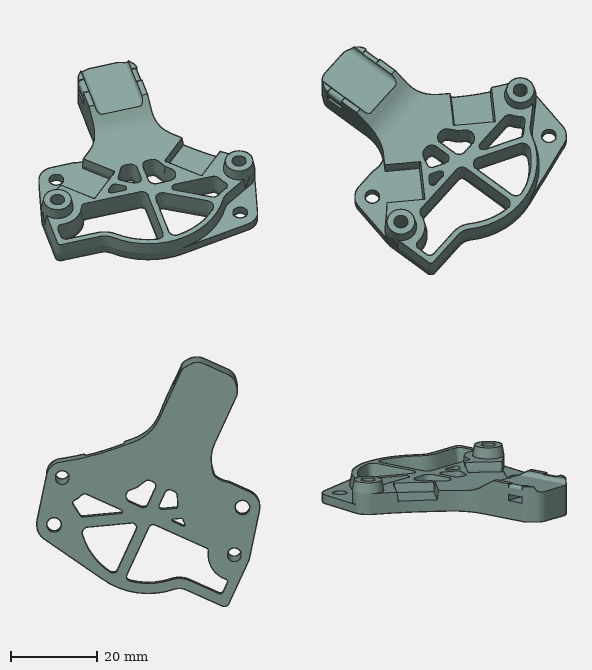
import cadquery as cq
import math


tab_top = 2.1
plate_top = 4.95
boss_top = 7.5
handle_top = 8.4
draft_angle = 10.0

length = 56.3
width = 51.15
rim_radius = 18.25
column_x = 12.15
column_corner_radius = 1.2
rim_blend_radius = 3.95
diagonal_offset = 24.9
flank_angle = 57.0
flank_blend_radius = 67.55
beyond = 50.65

boss_top_radius = 3.2
boss_base_radius = boss_top_radius + (boss_top - plate_top) * math.tan(math.radians(draft_angle))
boss_foot_radius = boss_top_radius + (boss_top - tab_top) * math.tan(math.radians(draft_angle))
boss_hole = 3.2
boss_y = width / 2 - boss_base_radius
tab_hole_x = 10.9
tab_hole_y = 19.0
tab_hole = 3.4
tab_radius = 4.05
tab_edge_end_y = -13.7
tab_edge_dip = 0.3
tab_edge_lean = 0.15

handle_width = 14.1
handle_y = 0.14
handle_nose_width = 9.45
handle_nose_length = 3.05
handle_end_radius = 3.15
handle_side_radius = 2.6
handle_flare_radius = 10.4
handle_start = rim_radius - length
slope_start = handle_start + 12.6
slope_angle = 30.0
slope_blend_radius = 9.25
channel_width = 11.4
channel_depth = 1.25

tie_start = handle_start + 3.95
tie_width = 4.05
tie_slot_bottom = 4.4
tie_slot_top = 5.85
tie_notch_bottom = 7.5
tie_notch_top = 8.15
tie_notch_inset = 0.85

recess_angle = 45.0
recess_near = -0.75
recess_far = 9.05
recess_wall = 9.25
recess_draft_start = 3.05
north_recess_floor = 2.75

window_draft_start = 1.2
window_draft_angle = 8.0
rib_half = 1.25
spoke_angle = 60.0
wall = 2.35
boss_clearance = 6.1
sector_corner = 1.05
sector_tip = 1.4
acute_corner = 0.45
flank_corner = 0.7
leg_corner = 0.7
hub_window_reach = 7.8
hub_window_slant = 28.0
hub_window_slant_distance = 7.0
hub_window_corner = 1.1
hub_window_tip = 1.6
hub_window_small_corner = 0.5
hub_window_spoke_corner = 0.8
hub_wedge_corner = 0.3
recess_to_window = 1.95

flank = math.radians(flank_angle)
flank_slope = math.tan(flank)
flank_apex = boss_y + boss_base_radius / math.cos(flank)
flank_distance = flank_apex * math.cos(flank)
touch_x = boss_base_radius * math.sin(flank)
touch_y = boss_y + boss_base_radius * math.cos(flank)

above_rib = (270, -rib_half)
below_rib = (90, -rib_half)
east_of_rib = (180, -rib_half)
west_of_rib = (0, -rib_half)
left_of_spoke = (spoke_angle - 90, -rib_half)
right_of_spoke = (spoke_angle + 90, -rib_half)


def rounded_outline(corners):
    """Closed wire through (x, y, radius) corners; a zero radius leaves a sharp corner."""
    outline = cq.Workplane("XY")
    count = len(corners)
    for i, (x, y, radius) in enumerate(corners):
        before = cq.Vector(*corners[i - 1][:2])
        after = cq.Vector(*corners[(i + 1) % count][:2])
        corner = cq.Vector(x, y)
        to_before = (before - corner).normalized()
        to_after = (after - corner).normalized()
        half = to_before.getAngle(to_after) / 2
        reach = radius / math.tan(half)
        first = corner + to_before * reach
        outline = outline.moveTo(first.x, first.y) if i == 0 else outline.lineTo(first.x, first.y)
        if radius > 0:
            bisector = (to_before + to_after).normalized()
            middle = corner + bisector * (radius / math.sin(half) - radius)
            last = corner + to_after * reach
            outline = outline.threePointArc((middle.x, middle.y), (last.x, last.y))
    return outline.close()


def line_corners(lines):
    """Corners where consecutive lines meet, each line being (normal angle, distance, radius).

    The distance is measured from the hub; the radius rounds the corner with the next line.
    """
    corners = []
    for i, (angle, distance, radius) in enumerate(lines):
        next_angle, next_distance, _ = lines[(i + 1) % len(lines)]
        a = math.radians(angle)
        b = math.radians(next_angle)
        turn = math.sin(b - a)
        x = (distance * math.sin(b) - next_distance * math.sin(a)) / turn
        y = (next_distance * math.cos(a) - distance * math.cos(b)) / turn
        corners.append((x, y, radius))
    return corners


def bounded_area(lines, height):
    return rounded_outline(line_corners(lines)).extrude(height)


def cylinder(x, y, radius, height):
    return cq.Workplane("XY").center(x, y).circle(radius).extrude(height)


def prism(points, height):
    return cq.Workplane("XY").polyline(points).close().extrude(height)


def round_edge(solid, x, y, radius):
    """Round the upright edge nearest to (x, y)."""
    edge = cq.selectors.NearestToPointSelector((x, y, tab_top / 2))
    return solid.edges("|Z").edges(edge).fillet(radius)


def add_drafted_top(base, draft_start, taper):
    """Continue a base from the height where its draft starts up to the plate top."""
    drafted = base.faces(">Z").wires().toPending().workplane(origin=(0, 0, draft_start))
    return base.union(drafted.extrude(plate_top - draft_start, taper=taper, combine=False))


def tangent_points(x1, y1, r1, x2, y2, r2):
    """Touching points of the line along the left side of circles 1 and 2."""
    distance = math.hypot(x2 - x1, y2 - y1)
    angle = math.atan2(y2 - y1, x2 - x1) + math.acos((r1 - r2) / distance)
    c, s = math.cos(angle), math.sin(angle)
    return (x1 + r1 * c, y1 + r1 * s), (x2 + r2 * c, y2 + r2 * s)


def east_side():
    """Rim, leg and north-east flank with drafted upper walls, open-ended to the west."""
    rim = cylinder(0, 0, rim_radius, tab_top)
    far_y = flank_apex + beyond * flank_slope
    field = prism([
        (-beyond, -width / 2),
        (column_x, -width / 2),
        (column_x, -rim_radius / 2),
        (flank_distance * math.sin(flank), flank_distance * math.cos(flank)),
        (-beyond, far_y),
    ], tab_top)
    base = rim.union(field)
    base = round_edge(base, column_x, -math.sqrt(rim_radius**2 - column_x**2), rim_blend_radius)
    base = round_edge(base, column_x, -width / 2, column_corner_radius)
    along = math.sqrt(rim_radius**2 - flank_distance**2)
    meet_x = flank_distance * math.sin(flank) - along * math.cos(flank)
    base = round_edge(base, meet_x, flank_apex - meet_x * flank_slope, rim_blend_radius)
    return add_drafted_top(base, tab_top, draft_angle)


def handle_block():
    """Side profile of the handle with its ramp down to the plate."""
    angle = math.radians(slope_angle)
    blend_drop = slope_blend_radius * (1 - math.cos(angle))
    ramp_run = (handle_top - plate_top - blend_drop) / math.tan(angle)
    ramp_end = slope_start + ramp_run
    blend_end = ramp_end + slope_blend_radius * math.sin(angle)
    blend_mid_x = blend_end - slope_blend_radius * math.sin(angle / 2)
    blend_mid_z = plate_top + slope_blend_radius * (1 - math.cos(angle / 2))
    return (
        cq.Workplane("XZ")
        .moveTo(handle_start, 0)
        .lineTo(handle_start, handle_top)
        .lineTo(slope_start, handle_top)
        .lineTo(ramp_end, plate_top + blend_drop)
        .threePointArc((blend_mid_x, blend_mid_z), (blend_end, plate_top))
        .lineTo(blend_end, 0)
        .close()
        .extrude(width, both=True)
    )


def plate_and_handle():
    """Solid body without its bosses, tabs and openings."""
    north = handle_y + handle_width / 2
    south = handle_y - handle_width / 2
    nose_x = handle_start + handle_nose_length
    bend_x = (diagonal_offset - flank_apex) / (flank_slope - 1)
    bend_y = bend_x + diagonal_offset
    plan = rounded_outline([
        (nose_x, south, handle_side_radius),
        (handle_start, handle_y - handle_nose_width / 2, handle_end_radius),
        (handle_start, handle_y + handle_nose_width / 2, handle_end_radius),
        (nose_x, north, handle_side_radius),
        (north - diagonal_offset, north, handle_flare_radius),
        (bend_x, bend_y, flank_blend_radius),
        (-touch_x, touch_y, 0),
        (beyond, touch_y, 0),
        (beyond, -width / 2, 0),
        (0, -width / 2, 0),
        (-touch_x, -touch_y, 0),
        (bend_x, -bend_y, flank_blend_radius),
        (-south - diagonal_offset, south, handle_flare_radius),
    ]).extrude(handle_top)
    return plan.intersect(east_side().union(handle_block()))


def boss(side):
    """Conical boss whose flared foot is trimmed to the plate outline."""
    cone = (
        cq.Workplane("XY", origin=(0, side * boss_y, tab_top))
        .circle(boss_foot_radius)
        .extrude(boss_top - tab_top, taper=draft_angle)
    )
    if side > 0:
        lines = [
            (90 - flank_angle, flank_distance, boss_base_radius),
            (90 + flank_angle, flank_distance, 0),
            (270, 0, 0),
        ]
    else:
        lines = [
            (-90 - flank_angle, flank_distance, boss_base_radius),
            (270, width / 2, 0),
            (0, rim_radius, 0),
            (90, 0, 0),
        ]
    pad = cylinder(0, side * boss_y, boss_base_radius, tab_top)
    return cone.intersect(bounded_area(lines, boss_top)).union(pad)


def tabs():
    """Thin tabs; the south one is the north one turned half round, with a straight west edge."""
    tab_circle = (tab_hole_x, tab_hole_y, tab_radius)
    boss_touch, tab_touch = tangent_points(0, boss_y, boss_base_radius, *tab_circle)
    tab_side, rim_side = tangent_points(*tab_circle, 0, 0, rim_radius)
    north = prism([boss_touch, tab_touch, tab_side, rim_side, (0, 0)], tab_top)
    north = north.union(cylinder(*tab_circle, tab_top))

    west_x = -tab_hole_x - tab_radius
    top_x = west_x - tab_edge_lean
    top_y = -diagonal_offset - top_x
    south = (
        cq.Workplane("XY")
        .moveTo(-boss_touch[0], -boss_touch[1])
        .lineTo(-tab_touch[0], -tab_touch[1])
        .lineTo(-tab_hole_x, -tab_hole_y)
        .lineTo(west_x, -tab_hole_y)
        .lineTo(west_x, tab_edge_end_y)
        .threePointArc((west_x + tab_edge_dip, (tab_edge_end_y + top_y) / 2), (top_x, top_y))
        .lineTo(0, top_y)
        .close()
        .extrude(tab_top)
        .union(cylinder(-tab_hole_x, -tab_hole_y, tab_radius, tab_top))
    )
    return north.union(south)


def recess(floor, side):
    """Diagonal recess, open outwards; side is +1 for north and -1 for south."""
    inset = (plate_top - recess_draft_start) * math.tan(math.radians(draft_angle))
    near = recess_near + inset
    far = recess_far - inset
    inner = recess_wall + inset
    corners = [(near, inner), (far, inner), (far, beyond), (near, beyond)]
    c = math.cos(math.radians(recess_angle))
    s = math.sin(math.radians(recess_angle))
    points = [(u * c - v * s, side * (u * s + v * c)) for u, v in corners]
    base = prism(points, recess_draft_start - floor).translate((0, 0, floor))
    return add_drafted_top(base, recess_draft_start, -draft_angle)


def north_window():
    area = bounded_area([
        (*east_of_rib, acute_corner),
        (*left_of_spoke, flank_corner),
        (90 - flank_angle, flank_distance - wall, 0),
        (90, boss_y, 0),
    ], window_draft_start)
    area = area.cut(cylinder(0, boss_y, boss_clearance, window_draft_start))
    area = area.edges("|Z").edges(">Y").fillet(flank_corner)
    boss_side_y = boss_y - math.sqrt(boss_clearance**2 - rib_half**2)
    return round_edge(area, rib_half, boss_side_y, sector_corner)


def sector_window():
    area = bounded_area(
        [(*above_rib, 0), (spoke_angle / 2, beyond, 0), (*right_of_spoke, 0)],
        window_draft_start,
    )
    sector = area.intersect(cylinder(0, 0, rim_radius - wall, window_draft_start))
    tip_angle = math.radians(spoke_angle) - math.asin(rib_half / (rim_radius - wall))
    tip_x = (rim_radius - wall) * math.cos(tip_angle)
    tip_y = (rim_radius - wall) * math.sin(tip_angle)
    sector = round_edge(sector, rib_half * math.tan(math.radians(spoke_angle)), rib_half, sector_corner)
    rim_x = math.sqrt((rim_radius - wall)**2 - rib_half**2)
    sector = round_edge(sector, rim_x, rib_half, sector_corner)
    return round_edge(sector, tip_x, tip_y, sector_tip)


def leg_window():
    """Sector below the cross rib that runs on into the leg, around the south boss."""
    radius = rim_radius - wall
    right = column_x - wall
    bottom = wall - width / 2
    leg = prism([(0, 0), (right, 0), (right, bottom), (0, bottom)], window_draft_start)
    area = cylinder(0, 0, radius, window_draft_start).union(leg)
    area = round_edge(area, right, -math.sqrt(radius**2 - right**2), rim_blend_radius + wall)
    quadrant = prism([
        (rib_half, -rib_half),
        (beyond, -rib_half),
        (beyond, -beyond),
        (rib_half, -beyond),
    ], window_draft_start)
    area = area.intersect(quadrant).cut(cylinder(0, -boss_y, boss_clearance, window_draft_start))
    area = round_edge(area, right, bottom, leg_corner)
    boss_side_x = math.sqrt(boss_clearance**2 - (bottom + boss_y)**2)
    area = round_edge(area, boss_side_x, bottom, leg_corner)
    boss_side_y = math.sqrt(boss_clearance**2 - rib_half**2) - boss_y
    area = round_edge(area, rib_half, boss_side_y, leg_corner)
    area = round_edge(area, rib_half, -rib_half, sector_corner)
    return round_edge(area, math.sqrt(radius**2 - rib_half**2), -rib_half, sector_corner)


def hub_windows():
    """Three small windows west of the hub, clear of the recesses."""
    beside_recess = recess_wall - recess_to_window
    slant = 90 + hub_window_slant
    upper = bounded_area([
        (*above_rib, hub_window_corner),
        (*west_of_rib, hub_window_tip),
        (180 - recess_angle, beside_recess, hub_window_small_corner),
        (slant, hub_window_slant_distance, hub_window_corner),
        (180, hub_window_reach, hub_window_corner),
    ], window_draft_start)
    lower = bounded_area([
        (*below_rib, hub_window_corner),
        (180, hub_window_reach, hub_window_corner),
        (-slant, hub_window_slant_distance, hub_window_small_corner),
        (*left_of_spoke, hub_window_spoke_corner),
    ], window_draft_start)
    corner = bounded_area([
        (*west_of_rib, hub_wedge_corner),
        (*right_of_spoke, hub_window_small_corner),
        (180 + recess_angle, beside_recess, hub_wedge_corner),
    ], window_draft_start)
    return [upper, lower, corner]


def handle_channel():
    """Trough along the top of the handle, running out through the ramp."""
    return (
        cq.Workplane("XY", origin=(handle_start, handle_y, handle_top - channel_depth))
        .rect(length, channel_width)
        .extrude(handle_top)
        .edges("|X and <Z")
        .fillet(channel_depth)
    )


def tie_passage():
    """Slot across the handle plus a notch over each side wall for a cable tie."""
    half = handle_width / 2
    notch = (
        cq.Workplane("YZ", origin=(tie_start, handle_y, 0))
        .moveTo(0, tie_notch_top)
        .lineTo(half - tie_notch_inset, tie_notch_top)
        .tangentArcPoint((half, tie_notch_bottom), relative=False)
        .lineTo(half, handle_top)
        .lineTo(0, handle_top)
        .close()
        .extrude(tie_width)
    )
    notch = notch.union(notch.mirror("XZ", (0, handle_y, 0)))
    slot = (
        cq.Workplane("YZ", origin=(tie_start, handle_y, (tie_slot_bottom + tie_slot_top) / 2))
        .rect(handle_width, tie_slot_top - tie_slot_bottom)
        .extrude(tie_width)
    )
    return slot.union(notch)


result = plate_and_handle().cut(handle_channel()).cut(tie_passage())
result = result.cut(recess(north_recess_floor, 1)).cut(recess(tab_top, -1))
result = result.union(tabs())
for window in [north_window(), sector_window(), leg_window(), *hub_windows()]:
    result = result.cut(add_drafted_top(window, window_draft_start, -window_draft_angle))
for side in (1, -1):
    result = result.union(boss(side))
    result = result.cut(cylinder(0, side * boss_y, boss_hole / 2, handle_top))
    result = result.cut(cylinder(side * tab_hole_x, side * tab_hole_y, tab_hole / 2, handle_top))